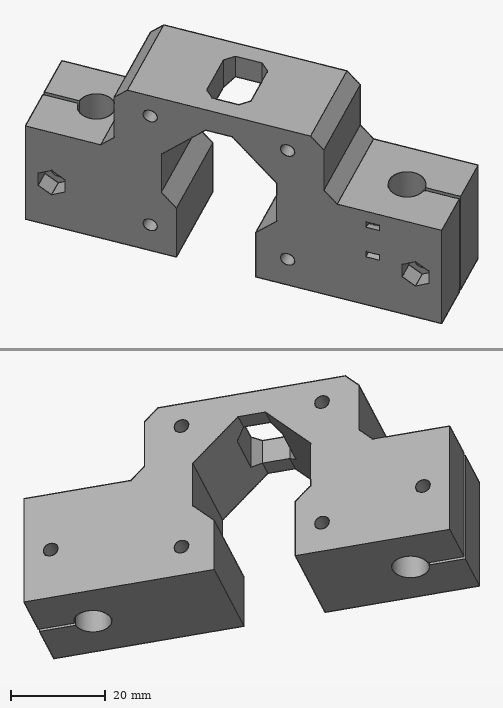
import cadquery as cq
import math

length = 94.0
depth = 22.0
height = 44.1
front_y = -depth / 2

bridge_center_x = 43.7
bridge_width = 47.4
shoulder_height = 26.6
bridge_chamfer = 3.0

opening_width = 26.0
opening_top_width = 6.0
opening_top_z = 38.3
opening_lower_z = 17.4
throat_left_x = 34.1
throat_right_x = 52.0

motor_hole_diameter = 3.2
motor_hole_spacing = 31.0
motor_center_z = 22.8

rod_diameter = 8.0
rod_inset = 11.9
clamp_gap = 0.8
bolt_diameter = 3.2
bolt_inset = 5.9
bolt_z = 12.3
nut_flats = 6.0
nut_depth = 4.0

window_length = 10.0
window_width = 14.0
window_chamfer = 2.0

tie_center_x = 78.4
tie_center_z = 18.6
tie_width = 3.0
tie_inner_radius = 3.5
tie_outer_radius = 5.0


def make_body():
    """Clamp blocks and chamfered bridge, as one extruded outline."""
    left = bridge_center_x - bridge_width / 2
    right = bridge_center_x + bridge_width / 2
    outline = [
        (0, 0),
        (length, 0),
        (length, shoulder_height),
        (right + bridge_chamfer, shoulder_height),
        (right, shoulder_height + bridge_chamfer),
        (right, height - bridge_chamfer),
        (right - bridge_chamfer, height),
        (left + bridge_chamfer, height),
        (left, height - bridge_chamfer),
        (left, shoulder_height + bridge_chamfer),
        (left - bridge_chamfer, shoulder_height),
        (0, shoulder_height),
    ]
    return cq.Workplane("XZ").polyline(outline).close().extrude(depth / 2, both=True)


def make_opening():
    """Motor opening whose sloped walls all lie at 45 degrees."""
    left = bridge_center_x - opening_width / 2
    right = bridge_center_x + opening_width / 2
    top_slope = (opening_width - opening_top_width) / 2
    outline = [
        (throat_left_x, 0),
        (throat_right_x, 0),
        (throat_right_x, opening_lower_z - (right - throat_right_x)),
        (right, opening_lower_z),
        (right, opening_top_z - top_slope),
        (right - top_slope, opening_top_z),
        (left + top_slope, opening_top_z),
        (left, opening_top_z - top_slope),
        (left, opening_lower_z),
        (throat_left_x, opening_lower_z - (throat_left_x - left)),
    ]
    return cq.Workplane("XZ").polyline(outline).close().extrude(depth / 2, both=True)


def make_motor_holes():
    """Four through holes along Y."""
    return (
        cq.Workplane("XZ", origin=(bridge_center_x, 0, motor_center_z))
        .rect(motor_hole_spacing, motor_hole_spacing, forConstruction=True)
        .vertices()
        .circle(motor_hole_diameter / 2)
        .extrude(depth / 2, both=True)
    )


def make_clamp(rod_x, bolt_x, end_x):
    """Vertical rod bore, gap to the end face, cross bolt and nut pocket."""
    bore = cq.Workplane("XY", origin=(rod_x, 0, 0)).circle(rod_diameter / 2).extrude(shoulder_height)
    gap = (
        cq.Workplane("XY", origin=((rod_x + end_x) / 2, 0, 0))
        .rect(abs(rod_x - end_x), clamp_gap)
        .extrude(shoulder_height)
    )
    bolt = (
        cq.Workplane("XZ", origin=(bolt_x, 0, bolt_z))
        .circle(bolt_diameter / 2)
        .extrude(depth / 2, both=True)
    )
    nut_corners = nut_flats / math.cos(math.pi / 6)
    nut = (
        cq.Workplane("XZ", origin=(bolt_x, front_y, bolt_z))
        .transformed(rotate=(0, 0, 30))
        .polygon(6, nut_corners)
        .extrude(-nut_depth)
    )
    return bore.union(gap).union(bolt).union(nut)


def make_window():
    """Chamfered rectangular window from the bridge top into the opening."""
    return (
        cq.Workplane("XY", origin=(bridge_center_x, 0, motor_center_z))
        .rect(window_length, window_width)
        .extrude(height - motor_center_z)
        .edges("|Z")
        .chamfer(window_chamfer)
    )


def make_tie_tunnel():
    """Ring about an X axis lying in the front face."""
    return (
        cq.Workplane("YZ", origin=(tie_center_x - tie_width / 2, front_y, tie_center_z))
        .circle(tie_outer_radius)
        .circle(tie_inner_radius)
        .extrude(tie_width)
    )


result = (
    make_body()
    .cut(make_opening())
    .cut(make_motor_holes())
    .cut(make_clamp(rod_inset, bolt_inset, 0))
    .cut(make_clamp(length - rod_inset, length - bolt_inset, length))
    .cut(make_window())
    .cut(make_tie_tunnel())
)